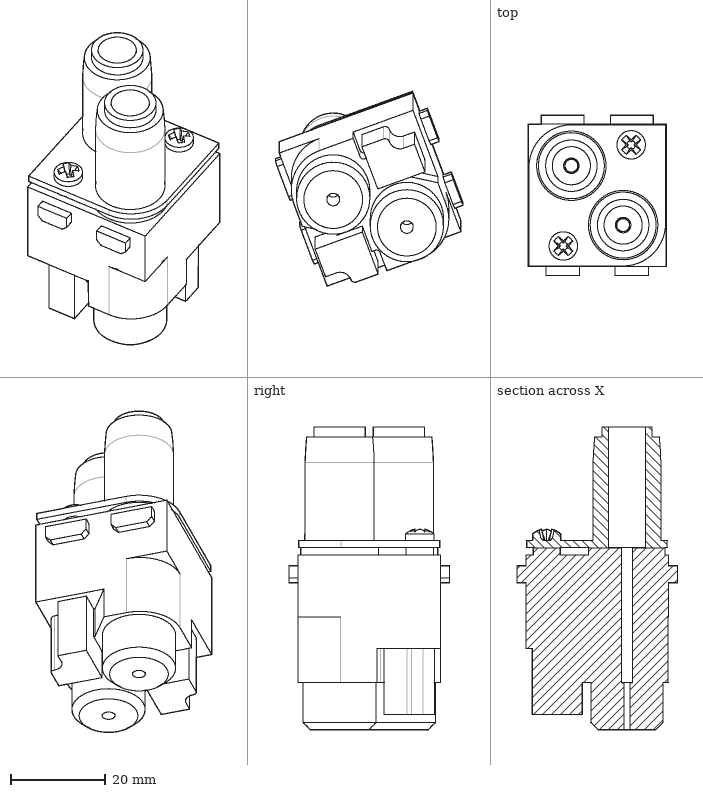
import cadquery as cq

BARREL_CHAMFER = 1.55
KEY_BOTTOM_Z = 3.2
BLOCK_BOTTOM_Z = 10.0
KEYWAY_TOP_Z = 17.25
ROUNDING_TOP_Z = 24.0
LUG_BOTTOM_Z = 31.2
LUG_TOP_Z = 34.85
BLOCK_TOP_Z = 37.15
PLATE_BOTTOM_Z = 38.7
PLATE_TOP_Z = 40.25
SCREW_RIM_Z = 41.6
SCREW_TOP_Z = 42.75
TAPER_BOTTOM_Z = 56.7
TAPER_TOP_Z = 62.2
TUBE_TOP_Z = 64.3

BLOCK_X = 29.3
BLOCK_Y = 30.3
OVERALL_Y = 34.1
CORNER_RADIUS = 9
HALF_X = BLOCK_X / 2
HALF_Y = BLOCK_Y / 2

CONTACT_SPACING_X = 11.0
CONTACT_SPACING_Y = 12.6
CONTACT_X = -CONTACT_SPACING_X / 2
CONTACT_Y = CONTACT_SPACING_Y / 2
SCREW_X = -7.2
SCREW_Y = -10.75

BARREL_RADIUS = 7.8
RISER_DIAMETER = 16.5
RISER_RADIUS = RISER_DIAMETER / 2
BOSS_RADIUS = 2.9
CONTACT_HOLE_DIAMETER = 3.3
EXIT_HOLE_DIAMETER = 2.7

LUG_OFFSET_X = 7.3
FRONT_LUG_WIDTH = 7.2
BACK_LUG_WIDTH = 9.1
LUG_DEPTH = (OVERALL_Y - BLOCK_Y) / 2
LUG_CHAMFER = 1.1

KEYWAY_WALL_Y = -1.6
KEYWAY_WALL_X = -9.65
KEYWAY_FILLET = 0.8
KEYWAY_STEP_X = -3.5
KEYWAY_STEP_Y = -8.9
KEYWAY_END_X = 0.6

KEY_LEFT_X = -13.5
KEY_RIGHT_X = -3.8
KEY_FRONT_Y = -13.8
KEY_BACK_Y = -3.15
KEY_EDGE_RADIUS = 0.95
KEY_GROOVE_RADIUS = 2.4
GROOVE_X = KEY_LEFT_X + KEY_EDGE_RADIUS
GROOVE_Y = -11.4

PLATE_INSET = 0.16
TUBE_DIAMETER = 14.7
TUBE_RADIUS = TUBE_DIAMETER / 2
TAPER_MID_RADIUS = 7.25
TAPER_TOP_RADIUS = 7.0
COLLAR_RADIUS = 5.45
TUBE_BORE_RADIUS = 4.05

SCREW_RADIUS = 3.0
RECESS_TOP_LENGTH = 5.15
RECESS_TOP_WIDTH = 1.55
RECESS_FLOOR_LENGTH = 1.75
RECESS_FLOOR_WIDTH = 0.85


def half_turn(shape):
    """Copy of the shape turned by 180 degrees about the Z axis."""
    return shape.rotate((0, 0, 0), (0, 0, 1), 180)


def cylinder(x, y, radius, bottom_z, top_z):
    return cq.Workplane("XY", origin=(x, y, bottom_z)).circle(radius).extrude(top_z - bottom_z)


def corner_rounded_block(size_x, size_y, bottom_z, top_z):
    """Block with its (-X, +Y) and (+X, -Y) vertical edges rounded."""
    block = cq.Workplane("XY", origin=(0, 0, bottom_z)).box(
        size_x, size_y, top_z - bottom_z, centered=(True, True, False)
    )
    for side in (-1, 1):
        x = side * size_x / 2
        y = -side * size_y / 2
        middle_z = (bottom_z + top_z) / 2
        block = block.edges(cq.selectors.NearestToPointSelector((x, y, middle_z))).fillet(CORNER_RADIUS)
    return block




def lug(x, side, width):
    """Locking lug on the -Y (side = -1) or +Y (side = 1) wall, lower corners chamfered."""
    height = LUG_TOP_Z - LUG_BOTTOM_Z
    middle = (x, side * (HALF_Y + LUG_DEPTH / 2), LUG_BOTTOM_Z + height / 2)
    block = cq.Workplane("XY").box(width, LUG_DEPTH, height).edges("|Y and <Z").chamfer(LUG_CHAMFER)
    return block.translate(middle)


def barrel():
    """Lower contact barrel with a chamfered rim."""
    body = cylinder(CONTACT_X, CONTACT_Y, BARREL_RADIUS, 0, BLOCK_BOTTOM_Z)
    return body.faces("<Z").chamfer(BARREL_CHAMFER)


def contact_hole():
    """Stepped hole from the riser to the barrel end."""
    upper = cylinder(CONTACT_X, CONTACT_Y, CONTACT_HOLE_DIAMETER / 2, BLOCK_BOTTOM_Z, PLATE_BOTTOM_Z)
    return upper.union(cylinder(CONTACT_X, CONTACT_Y, EXIT_HOLE_DIAMETER / 2, 0, BLOCK_BOTTOM_Z))


def keyway():
    """Space cut from the lower (-X, -Y) corner of the block."""
    return (
        cq.Workplane("XY", origin=(0, 0, BLOCK_BOTTOM_Z))
        .moveTo(-HALF_X, -HALF_Y)
        .lineTo(-HALF_X, KEYWAY_WALL_Y)
        .lineTo(KEYWAY_WALL_X - KEYWAY_FILLET, KEYWAY_WALL_Y)
        .radiusArc((KEYWAY_WALL_X, KEYWAY_WALL_Y - KEYWAY_FILLET), KEYWAY_FILLET)
        .lineTo(KEYWAY_WALL_X, KEYWAY_STEP_Y)
        .lineTo(KEYWAY_STEP_X, KEYWAY_STEP_Y)
        .lineTo(KEYWAY_END_X, -HALF_Y)
        .close()
        .extrude(KEYWAY_TOP_Z - BLOCK_BOTTOM_Z)
    )


def key():
    """Coding key with a rounded edge and a quarter-round groove along its outer corner."""
    return (
        cq.Workplane("XY", origin=(0, 0, KEY_BOTTOM_Z))
        .moveTo(KEY_LEFT_X, KEY_BACK_Y)
        .lineTo(KEY_LEFT_X, GROOVE_Y + KEY_GROOVE_RADIUS + KEY_EDGE_RADIUS)
        .radiusArc((GROOVE_X, GROOVE_Y + KEY_GROOVE_RADIUS), -KEY_EDGE_RADIUS)
        .radiusArc((GROOVE_X + KEY_GROOVE_RADIUS, GROOVE_Y), KEY_GROOVE_RADIUS)
        .lineTo(GROOVE_X + KEY_GROOVE_RADIUS, KEY_FRONT_Y)
        .lineTo(KEY_RIGHT_X, KEY_FRONT_Y)
        .lineTo(KEY_RIGHT_X, KEY_BACK_Y)
        .close()
        .extrude(KEYWAY_TOP_Z - KEY_BOTTOM_Z)
    )


def build_housing():
    upper = cq.Workplane("XY", origin=(0, 0, ROUNDING_TOP_Z)).box(
        BLOCK_X, BLOCK_Y, BLOCK_TOP_Z - ROUNDING_TOP_Z, centered=(True, True, False)
    )
    body = upper.union(corner_rounded_block(BLOCK_X, BLOCK_Y, BLOCK_BOTTOM_Z, ROUNDING_TOP_Z))
    body = body.cut(keyway()).cut(half_turn(keyway()))

    riser = cylinder(CONTACT_X, CONTACT_Y, RISER_RADIUS, BLOCK_TOP_Z, PLATE_BOTTOM_Z)
    boss = cylinder(SCREW_X, SCREW_Y, BOSS_RADIUS, BLOCK_TOP_Z, PLATE_BOTTOM_Z)
    for feature in (barrel(), key(), riser, boss):
        body = body.union(feature).union(half_turn(feature))

    for x in (-LUG_OFFSET_X, LUG_OFFSET_X):
        body = body.union(lug(x, -1, FRONT_LUG_WIDTH))
        body = body.union(lug(x, 1, BACK_LUG_WIDTH))

    return body.cut(contact_hole()).cut(half_turn(contact_hole()))




def tube():
    """Turned sleeve with a crowned taper and a stepped-in collar."""
    return (
        cq.Workplane("XZ")
        .moveTo(0, PLATE_BOTTOM_Z)
        .lineTo(TUBE_RADIUS, PLATE_BOTTOM_Z)
        .lineTo(TUBE_RADIUS, TAPER_BOTTOM_Z)
        .threePointArc(
            (TAPER_MID_RADIUS, (TAPER_BOTTOM_Z + TAPER_TOP_Z) / 2), (TAPER_TOP_RADIUS, TAPER_TOP_Z)
        )
        .lineTo(COLLAR_RADIUS, TAPER_TOP_Z)
        .lineTo(COLLAR_RADIUS, TUBE_TOP_Z)
        .lineTo(0, TUBE_TOP_Z)
        .close()
        .revolve(360, (0, 0), (0, 1))
        .translate((CONTACT_X, CONTACT_Y, 0))
    )


def screw_head():
    """Domed head with a diagonal cross recess that narrows down to the plate surface."""
    dome_height = SCREW_TOP_Z - SCREW_RIM_Z
    dome_radius = (SCREW_RADIUS**2 + dome_height**2) / (2 * dome_height)
    profile = (
        cq.Workplane("XZ")
        .moveTo(0, PLATE_TOP_Z)
        .lineTo(SCREW_RADIUS, PLATE_TOP_Z)
        .lineTo(SCREW_RADIUS, SCREW_RIM_Z)
        .radiusArc((0, SCREW_TOP_Z), -dome_radius)
        .close()
    )
    head = profile.revolve(360, (0, 0), (0, 1))
    for angle in (45, 135):
        arm = (
            cq.Workplane("XY", origin=(0, 0, PLATE_TOP_Z))
            .rect(RECESS_FLOOR_LENGTH, RECESS_FLOOR_WIDTH)
            .workplane(offset=SCREW_TOP_Z - PLATE_TOP_Z)
            .rect(RECESS_TOP_LENGTH, RECESS_TOP_WIDTH)
            .loft()
        )
        head = head.cut(arm.rotate((0, 0, 0), (0, 0, 1), angle))
    return head


def build_cover():
    body = corner_rounded_block(
        BLOCK_X - 2 * PLATE_INSET, BLOCK_Y - 2 * PLATE_INSET, PLATE_BOTTOM_Z, PLATE_TOP_Z
    )
    head = screw_head().translate((SCREW_X, SCREW_Y, 0))
    opposite_head = screw_head().translate((-SCREW_X, -SCREW_Y, 0))
    body = body.union(tube()).union(half_turn(tube())).union(head).union(opposite_head)
    bore = cylinder(CONTACT_X, CONTACT_Y, TUBE_BORE_RADIUS, PLATE_BOTTOM_Z, TUBE_TOP_Z)
    return body.cut(bore).cut(half_turn(bore))


housing = build_housing()
cover = build_cover()

result = cq.Compound.makeCompound([housing.val(), cover.val()])